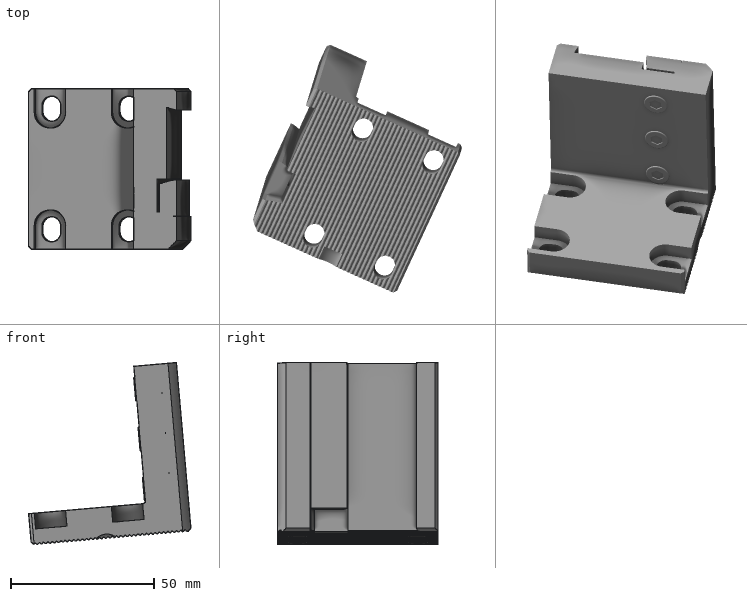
import cadquery as cq
import math

TILT = 5.0

LENGTH = 56.0
WIDTH = 56.0
HEIGHT = 59.0
BASE_THICKNESS = 11.0
WALL_THICKNESS = 15.0
WALL_FACE = LENGTH - WALL_THICKNESS
CORNER_FILLET = 1.0
EDGE_CHAMFER = 1.0
WIDE_CHAMFER = 3.0

GROOVE_COUNT = 36
GROOVE_PITCH = (LENGTH - 2 * EDGE_CHAMFER) / GROOVE_COUNT
GROOVE_WIDTH = 1.3
GROOVE_DEPTH = 0.6
FIRST_GROOVE_X = 1.4
RELIEF_RADIUS = 5.0
RELIEF_HEIGHT = 1.5
RELIEF_FROM_WALL_BACK = 29.85
RELIEF_LENGTH = 5.1

SLOT_X = (7.5, 34.5)
SLOT_WIDTH = 6.6
SLOT_LENGTH = 8.7
SLOT_EDGE_DISTANCE = 7.0
POCKET_WIDTH = 11.0
POCKET_LENGTH = 13.7
POCKET_DEPTH = 5.5

DOVETAIL_TAPER = math.tan(math.radians(15.0))
CHANNEL_DEPTH = 3.4
CHANNEL_TOP_Y = WIDTH / 2 - 7.5
JAW_TOP_Y = -3.8
JAW_WIDTH = 12.6
JAW_BOTTOM_Y = JAW_TOP_Y - JAW_WIDTH
JAW_DEPTH = 6.0
JAW_LIP = 1.1
JAW_HEIGHT = 51.0
JAW_SIDE_GAP = 0.4
JAW_BACK_GAP = 0.9
JAW_CAVITY_BACK = LENGTH - JAW_DEPTH - JAW_BACK_GAP
SLIT_WIDTH = 0.2

SCREW_Y = JAW_TOP_Y - JAW_WIDTH / 2
SCREW_PITCH = 17.45
SCREW_MIDDLE_Z = HEIGHT - JAW_HEIGHT / 2
SCREW_Z = [SCREW_MIDDLE_Z + step * SCREW_PITCH for step in (-1, 0, 1)]
SHANK_DIAMETER = 5.0
SHANK_OVERLAP = 0.65
SHANK_LENGTH = JAW_BACK_GAP + 2 * SHANK_OVERLAP
HEAD_DIAMETER = 8.3
HEAD_PROTRUSION = 0.4
HEAD_ROUNDING = 0.3
HEAD_CLEARANCE_DIAMETER = 9.6
SOCKET_ACROSS_FLATS = 4.0
SOCKET_DEPTH = HEAD_PROTRUSION
SOCKET_TURN = 85.0


def prism_along_z(points, bottom, top):
    """Closed XY outline raised from bottom to top."""
    return cq.Workplane("XY", origin=(0, 0, bottom)).polyline(points).close().extrude(top - bottom)


def rod_along_x(x_start, length, diameter, z):
    """Cylinder at the screw line, running toward +X from x_start."""
    return cq.Workplane("YZ", origin=(x_start, SCREW_Y, z)).circle(diameter / 2).extrude(length)


def make_bracket():
    """L-shaped body with its edge chamfers and the fillet in the inner corner."""
    profile = (
        cq.Workplane("XZ", origin=(0, WIDTH / 2, 0))
        .moveTo(EDGE_CHAMFER, 0)
        .lineTo(LENGTH - EDGE_CHAMFER, 0)
        .lineTo(LENGTH, EDGE_CHAMFER)
        .lineTo(LENGTH, HEIGHT)
        .lineTo(WALL_FACE, HEIGHT)
        .lineTo(WALL_FACE, BASE_THICKNESS + CORNER_FILLET)
        .radiusArc((WALL_FACE - CORNER_FILLET, BASE_THICKNESS), CORNER_FILLET)
        .lineTo(0, BASE_THICKNESS)
        .lineTo(0, EDGE_CHAMFER)
        .close()
        .extrude(WIDTH)
    )
    half = WIDTH / 2
    plan = [
        (EDGE_CHAMFER, -half),
        (LENGTH - WIDE_CHAMFER, -half),
        (LENGTH, WIDE_CHAMFER - half),
        (LENGTH, half - EDGE_CHAMFER),
        (LENGTH - EDGE_CHAMFER, half),
        (EDGE_CHAMFER, half),
        (0, half - EDGE_CHAMFER),
        (0, EDGE_CHAMFER - half),
    ]
    return profile.intersect(prism_along_z(plan, 0, HEIGHT))


def make_serration_groove(x):
    """V-groove across the full width of the underside."""
    points = [(x - GROOVE_WIDTH / 2, 0), (x, GROOVE_DEPTH), (x + GROOVE_WIDTH / 2, 0)]
    return cq.Workplane("XZ", origin=(0, WIDTH / 2, 0)).polyline(points).close().extrude(WIDTH)


def make_relief():
    """Short round relief under the -Y edge of the base."""
    center = (LENGTH - RELIEF_FROM_WALL_BACK, -WIDTH / 2, RELIEF_HEIGHT - RELIEF_RADIUS)
    return cq.Workplane("XZ", origin=center).circle(RELIEF_RADIUS).extrude(-RELIEF_LENGTH)


def make_mounting_slot(x, side):
    """Through slot and its counterbore pocket, open at the +Y (side 1) or -Y (side -1) edge."""
    edge = side * WIDTH / 2
    floor = BASE_THICKNESS - POCKET_DEPTH
    pocket = (
        cq.Workplane("XY", origin=(x, edge, floor))
        .slot2D(2 * POCKET_LENGTH, POCKET_WIDTH, 90)
        .extrude(POCKET_DEPTH)
    )
    slot = (
        cq.Workplane("XY", origin=(x, edge - side * SLOT_EDGE_DISTANCE, 0))
        .slot2D(SLOT_LENGTH, SLOT_WIDTH, 90)
        .extrude(BASE_THICKNESS)
    )
    return pocket.union(slot)


def make_channel():
    """Dovetail channel, undercut on its +Y side, ending at the jaw cavity."""
    floor_x = LENGTH - CHANNEL_DEPTH
    points = [
        (LENGTH, CHANNEL_TOP_Y),
        (floor_x, CHANNEL_TOP_Y + CHANNEL_DEPTH * DOVETAIL_TAPER),
        (floor_x, JAW_TOP_Y),
        (LENGTH, JAW_TOP_Y),
    ]
    return prism_along_z(points, 0, HEIGHT)


def jaw_inset():
    """How far the tapered jaw sides close in between the lip and the inner end."""
    return (JAW_DEPTH - JAW_LIP) * DOVETAIL_TAPER


def make_jaw_cavity():
    """Full-height cavity around the jaw, with a thin slit on the -Y side of the jaw lip."""
    inner_y = JAW_BOTTOM_Y + jaw_inset()
    points = [
        (LENGTH, JAW_TOP_Y + JAW_SIDE_GAP),
        (JAW_CAVITY_BACK, JAW_TOP_Y + JAW_SIDE_GAP),
        (JAW_CAVITY_BACK, inner_y),
        (LENGTH - JAW_DEPTH, inner_y),
        (LENGTH - JAW_LIP, JAW_BOTTOM_Y),
        (LENGTH - JAW_LIP, JAW_BOTTOM_Y - SLIT_WIDTH),
        (LENGTH, JAW_BOTTOM_Y - SLIT_WIDTH),
    ]
    return prism_along_z(points, 0, HEIGHT)


def make_jaw():
    """Jaw with tapered sides, joined to the wall along its -Y taper."""
    inner_x = LENGTH - JAW_DEPTH
    lip_x = LENGTH - JAW_LIP
    points = [
        (LENGTH, JAW_TOP_Y),
        (lip_x, JAW_TOP_Y),
        (inner_x, JAW_TOP_Y - jaw_inset()),
        (inner_x, JAW_BOTTOM_Y + jaw_inset()),
        (lip_x, JAW_BOTTOM_Y),
        (LENGTH, JAW_BOTTOM_Y),
    ]
    return prism_along_z(points, HEIGHT - JAW_HEIGHT, HEIGHT)


def make_head_clearance(z):
    """Round recess that opens the corner fillet in front of the wall face."""
    return rod_along_x(WALL_FACE - CORNER_FILLET, CORNER_FILLET, HEAD_CLEARANCE_DIAMETER, z)


def make_screw_shank(z):
    """Shank bridging the gap behind the jaw, with both ends sunk into solid material."""
    return rod_along_x(JAW_CAVITY_BACK - SHANK_OVERLAP, SHANK_LENGTH, SHANK_DIAMETER, z)


def make_screw_head(z):
    """Rounded head standing slightly proud of the inner wall face."""
    head = rod_along_x(WALL_FACE - HEAD_PROTRUSION, 2 * HEAD_PROTRUSION, HEAD_DIAMETER, z)
    return head.faces("<X").edges().fillet(HEAD_ROUNDING)


def make_hex_socket(z):
    """Shallow hexagon, its floor level with the wall face."""
    across_corners = SOCKET_ACROSS_FLATS / math.cos(math.radians(30))
    return (
        cq.Workplane("YZ", origin=(WALL_FACE - HEAD_PROTRUSION, SCREW_Y, z))
        .transformed(rotate=(0, 0, SOCKET_TURN))
        .polygon(6, across_corners)
        .extrude(SOCKET_DEPTH)
    )


body = make_bracket().cut(make_relief())

for groove_index in range(GROOVE_COUNT):
    body = body.cut(make_serration_groove(FIRST_GROOVE_X + groove_index * GROOVE_PITCH))

for slot_x in SLOT_X:
    for slot_side in (-1, 1):
        body = body.cut(make_mounting_slot(slot_x, slot_side))

body = body.cut(make_channel()).cut(make_jaw_cavity()).union(make_jaw())

for screw_z in SCREW_Z:
    body = body.cut(make_head_clearance(screw_z))
    body = body.union(make_screw_head(screw_z))
    body = body.union(make_screw_shank(screw_z))
    body = body.cut(make_hex_socket(screw_z))

result = body.rotate((0, 0, 0), (0, 1, 0), -TILT)